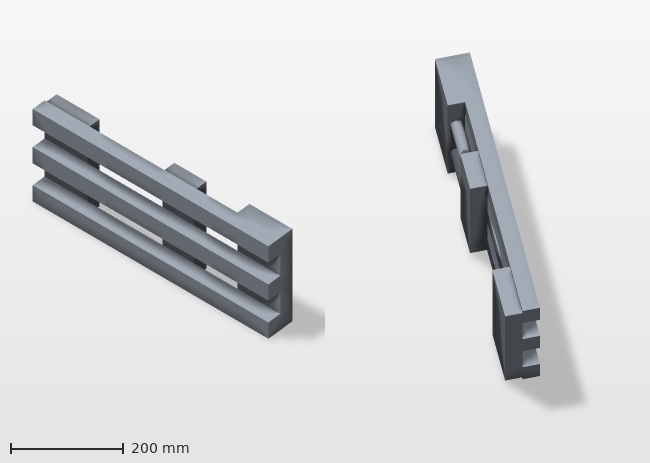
import cadquery as cq

LENGTH = 558.8
DEPTH = 63.5
HEIGHT = 216.41

RAIL_COUNT = 3
RAIL_HEIGHT = 38.1
RAIL_DEPTH = DEPTH / 2
RAIL_PITCH = (HEIGHT - RAIL_HEIGHT) / (RAIL_COUNT - 1)

BLOCK_DEPTH = DEPTH - RAIL_DEPTH
END_WIDTH = 101.6
JAW_WIDTH = 76.2
BLOCK_SETBACK = 6.35
SHORT_BLOCK_HEIGHT = HEIGHT - 2 * BLOCK_SETBACK

ROD_DIAMETER = 21.7
ROD_EXPOSED_LENGTH = 102.0

LEFT_EDGE = -LENGTH / 2
RIGHT_END_START = LENGTH / 2 - END_WIDTH
JAW_END = RIGHT_END_START - ROD_EXPOSED_LENGTH
JAW_START = JAW_END - JAW_WIDTH

FRONT_FACE = -DEPTH / 2
RAIL_BACK = FRONT_FACE + RAIL_DEPTH
ROD_Y = RAIL_BACK + BLOCK_DEPTH / 2


def box(x_start, width, y_start, depth, z_center, height):
    """Box placed by its left side, its front face and its mid-height."""
    return (
        cq.Workplane("XY")
        .box(width, depth, height, centered=(False, False, True))
        .translate((x_start, y_start, z_center))
    )


def rail(index):
    """Full-length rail, counted from the bottom."""
    z_center = (index - (RAIL_COUNT - 1) / 2) * RAIL_PITCH
    return box(LEFT_EDGE, LENGTH, FRONT_FACE, RAIL_DEPTH, z_center, RAIL_HEIGHT)


def block(x_start, width, height):
    """Upright block against the back of the rails."""
    return box(x_start, width, RAIL_BACK, BLOCK_DEPTH, 0, height)


def rod(gap_index):
    """Rod level with the middle of a gap between neighbouring rails."""
    z_center = (gap_index - (RAIL_COUNT - 2) / 2) * RAIL_PITCH
    rod_plane = cq.Plane(origin=(JAW_END, ROD_Y, z_center), xDir=(0, 0, 1), normal=(1, 0, 0))
    return (
        cq.Workplane(rod_plane)
        .circle(ROD_DIAMETER / 2)
        .extrude(ROD_EXPOSED_LENGTH)
    )


result = block(LEFT_EDGE, END_WIDTH, SHORT_BLOCK_HEIGHT)
result = result.union(block(JAW_START, JAW_WIDTH, SHORT_BLOCK_HEIGHT))
result = result.union(block(RIGHT_END_START, END_WIDTH, HEIGHT))
for rail_index in range(RAIL_COUNT):
    result = result.union(rail(rail_index))
for gap in range(RAIL_COUNT - 1):
    result = result.union(rod(gap))
result = result.clean()